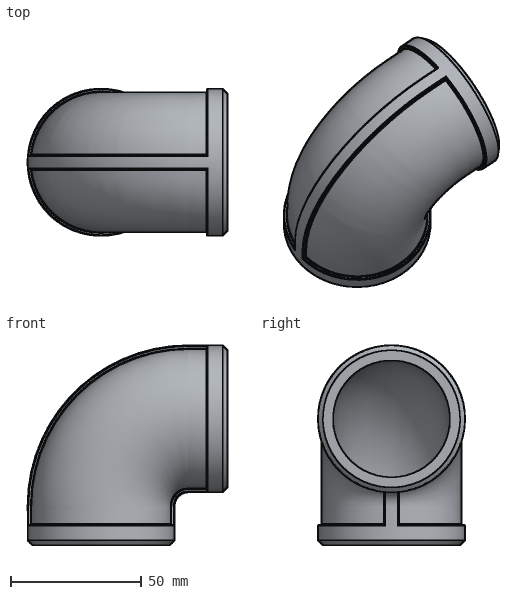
import cadquery as cq

overall = 76.75
collar_diameter = 56.5
body_diameter = 53.7
bore_diameter = 44.8
collar_length = 7.6
collar_chamfer = 1.9
leg_length = 15.1
rib_width = 4.75
step_bevel = 0.3

collar_radius = collar_diameter / 2
body_radius = body_diameter / 2
bend_radius = overall - leg_length - collar_radius
vertical_axis_x = -overall / 2 + collar_radius
horizontal_axis_z = overall / 2 - collar_radius
bend_start_z = -overall / 2 + leg_length
bend_end_x = overall / 2 - leg_length


def centreline(inset):
    """Path from the lower leg, round the bend, to the +X leg, stopping short of both openings by inset."""
    diagonal = bend_radius * 2 ** -0.5
    return (
        cq.Workplane("XZ")
        .moveTo(vertical_axis_x, -overall / 2 + inset)
        .lineTo(vertical_axis_x, bend_start_z)
        .threePointArc(
            (bend_end_x - diagonal, bend_start_z + diagonal),
            (bend_end_x, horizontal_axis_z),
        )
        .lineTo(overall / 2 - inset, horizontal_axis_z)
    )


def lower_section(inset):
    """Section plane across the lower leg, where the centreline starts."""
    return cq.Workplane("XY", origin=(vertical_axis_x, 0, -overall / 2 + inset))


def round_elbow(diameter, inset=0):
    return lower_section(inset).circle(diameter / 2).sweep(centreline(inset))


def rib_band():
    """Strip along the inside and outside of the bend, bevelled at its top edges and foot."""
    tip_half_width = rib_width / 2
    wall_half_width = tip_half_width + step_bevel
    foot_half_width = wall_half_width + step_bevel
    tip_radius = (collar_radius**2 - tip_half_width**2) ** 0.5
    wall_radius = tip_radius - step_bevel
    foot_radius = (body_radius**2 - foot_half_width**2) ** 0.5
    edge_profile = [
        (foot_radius, foot_half_width),
        (foot_radius + step_bevel, wall_half_width),
        (wall_radius, wall_half_width),
        (tip_radius, tip_half_width),
    ]
    band = lower_section(collar_length).moveTo(-foot_radius, foot_half_width)
    for side in (1, -1):
        for along, across in edge_profile:
            band = band.lineTo(side * along, side * across)
        band = band.threePointArc((side * collar_radius, 0), (side * tip_radius, -side * tip_half_width))
        for along, across in edge_profile[2:0:-1]:
            band = band.lineTo(side * along, -side * across)
        if side > 0:
            band = band.lineTo(foot_radius, -foot_half_width)
    return band.close().sweep(centreline(collar_length))


def collar():
    """Chamfered ring standing on its open end, with a bevelled step down to the body."""
    return (
        cq.Workplane("XZ")
        .lineTo(collar_radius - collar_chamfer, 0)
        .lineTo(collar_radius, collar_chamfer)
        .lineTo(collar_radius, collar_length)
        .lineTo(collar_radius - step_bevel, collar_length + step_bevel)
        .lineTo(body_radius + step_bevel, collar_length + step_bevel)
        .lineTo(body_radius, collar_length + 2 * step_bevel)
        .lineTo(0, collar_length + 2 * step_bevel)
        .close()
        .revolve(360, (0, 0, 0), (0, 1, 0))
    )


lower_collar = collar().translate((vertical_axis_x, 0, -overall / 2))
side_collar = collar().rotate((0, 0, 0), (0, 1, 0), -90).translate((overall / 2, 0, horizontal_axis_z))

body = round_elbow(body_diameter, collar_length)
outside = body.union(rib_band()).union(lower_collar).union(side_collar)
result = outside.cut(round_elbow(bore_diameter)).clean()